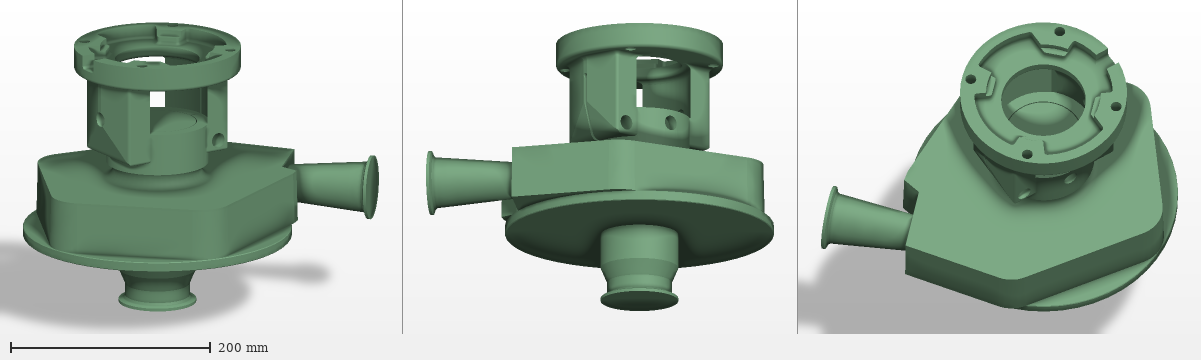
import cadquery as cq
import math

plate_bottom = 68.5
plate_top = 78.5
casing_top = 130.0
ring_bottom = 145.2
ring_top = 187.0
flange_bottom = 241.0
flange_top = 265.5

plate_radius = 269.0 / 2
plate_edge = 0.7

casing_inradius = 113.5
casing_first_normal = 27.4
casing_side_step = 72.0
casing_corner_radius = 32.5
throat_side_distance = 139.8
throat_side_normal = 125.4
casing_draft = 1.5
cap_height = 2.0
tongue_tip = (60.3, 126.7)
tongue_shoulder = (66.8, 118.5)
tongue_root = (40.3, 122.0)

discharge_angle = 45.0
discharge_face_distance = 114.0
discharge_axis_offset = 90.8
discharge_end_distance = 200.5
discharge_height = 104.2
discharge_root_radius = 18.5
discharge_root_round = 3.3
discharge_joint_radius = 24.5
discharge_joint_distance = 180.8
discharge_neck_radius = 25.5
discharge_rim_radius = 32.0

inlet_radius = 39.0
inlet_neck_radius = 32.3
inlet_cone_top = 34.0
inlet_cone_bottom = 19.0

rim_thickness = 3.0
shoulder_height = 4.7
ferrule_height = 7.0
shoulder_overhang = 1.8

neck_radius = 45.0
neck_fillet = 9.8
ring_radius = 102.0 / 2
ring_bore_radius = 39.5
shaft_radius = 77.5 / 2
pin_hole_radius = 15.0 / 2
ring_hole_height = 173.5

flange_radius = 83.5
flange_edge_fillet = 3.3
flange_bore_radius = 84.5 / 2
spigot_radius = 57.5
spigot_depth = 6.0
recess_side_radius = 73.5
recess_end_radius = 69.5
recess_depth = 13.5
recess_fillet = 3.1
recess_corner_radius = 3.3
slot_width = 19.5
bolt_circle_radius = 74.5
bolt_hole_radius = 5.5
pad_inner_distance = 51.0
pad_inner_half_width = 10.5
pad_flare = 18.0
pad_wide_flare = 45.0

leg_half_width = 39.0
leg_inner = 31.0
leg_bore_radius = 103.5 / 2
leg_front = 69.0
leg_flank = 59.0
leg_strip_half_width = 3.0
leg_corner_fillet = 3.3
leg_bottom = 157.2
leg_bevel_top = 194.5
leg_bevel_depth = 10.0
leg_toe_fillet = 8.7
leg_foot_fillet = 3.0
leg_root_fillet = 4.0
leg_hole_height = 199.3

slit_width = 3.3
slit_end_radius = 2.5
slit_end_height = 222.0
clamp_hole_offset = 47.2
clamp_hole_height = 168.8


def polar(radius, degrees):
    angle = math.radians(degrees)
    return (radius * math.cos(angle), radius * math.sin(angle))


def meeting_point(line_a, line_b):
    """Crossing of two lines, each given as (distance from origin, normal angle)."""
    (dist_a, deg_a), (dist_b, deg_b) = line_a, line_b
    ax, ay = polar(1, deg_a)
    bx, by = polar(1, deg_b)
    det = ax * by - ay * bx
    return ((dist_a * by - dist_b * ay) / det, (ax * dist_b - bx * dist_a) / det)


def cylinder(radius, bottom, top):
    return cq.Workplane("XY").workplane(offset=bottom).circle(radius).extrude(top - bottom)


def cross_hole(plane, radius, u, v, start, length):
    """Round cutter along the normal of a side plane."""
    return cq.Workplane(plane).workplane(offset=start).center(u, v).circle(radius).extrude(length)


def ferrule_points(rim_radius, neck_radius):
    """Radius and distance from the end face, from the face's centre up to the pipe."""
    return [
        (0, 0),
        (rim_radius, 0),
        (rim_radius, rim_thickness),
        (neck_radius + shoulder_overhang, shoulder_height),
        (neck_radius, ferrule_height),
    ]


def make_casing():
    sides = [(casing_inradius, casing_first_normal + casing_side_step * k) for k in (2, 3, 4, 5)]
    throat_side = (throat_side_distance, throat_side_normal)
    discharge_side = (discharge_face_distance, discharge_angle)
    rounded = [meeting_point(throat_side, sides[0])]
    rounded += [meeting_point(a, b) for a, b in zip(sides, sides[1:])]
    throat_tip = meeting_point(discharge_side, throat_side)
    corners = rounded + [tongue_shoulder, tongue_tip, tongue_root, throat_tip]

    outline = cq.Sketch().polygon(corners + corners[:1])
    for x, y in rounded:
        corner = cq.NearestToPointSelector((x, y, 0))
        outline = outline.vertices(corner).fillet(casing_corner_radius).reset()

    cap_bottom = casing_top - cap_height
    base = cq.Workplane("XY").workplane(offset=cap_bottom)
    cap = base.placeSketch(outline).extrude(cap_height)
    walls = base.placeSketch(outline).extrude(plate_top - cap_bottom, taper=-casing_draft)

    trim_size = 2 * plate_radius
    root_x, root_y = tongue_root
    root_offset = (root_y - root_x) * math.sin(math.radians(discharge_angle))
    trim = (
        cq.Workplane("XY")
        .box(trim_size, trim_size, trim_size, centered=(False, False, True))
        .translate((discharge_face_distance, root_offset, 0))
        .rotate((0, 0, 0), (0, 0, 1), discharge_angle)
    )
    return cap.union(walls.cut(trim))


def make_plate():
    return cylinder(plate_radius, plate_bottom, plate_top).edges().chamfer(plate_edge)


def make_inlet():
    points = ferrule_points(inlet_radius, inlet_neck_radius) + [
        (inlet_neck_radius, inlet_cone_bottom),
        (inlet_radius, inlet_cone_top),
        (inlet_radius, plate_bottom),
        (0, plate_bottom),
    ]
    return cq.Workplane("XZ").polyline(points).close().revolve(360, (0, 0), (0, 1))


def make_discharge():
    length = discharge_end_distance - discharge_face_distance
    joint = discharge_end_distance - discharge_joint_distance
    inner_radius = discharge_root_radius - discharge_root_round
    bulge = polar(discharge_root_round, 45)
    round_start = length - discharge_root_round
    pipe = (
        cq.Workplane("XZ")
        .polyline(ferrule_points(discharge_rim_radius, discharge_neck_radius))
        .lineTo(discharge_joint_radius, joint)
        .lineTo(discharge_root_radius, round_start)
        .threePointArc((inner_radius + bulge[0], round_start + bulge[1]), (inner_radius, length))
        .lineTo(0, length)
        .close()
        .revolve(360, (0, 0), (0, 1))
    )
    return (
        pipe.rotate((0, 0, 0), (0, 1, 0), -90)
        .translate((discharge_end_distance, discharge_axis_offset, discharge_height))
        .rotate((0, 0, 0), (0, 0, 1), discharge_angle)
    )


def make_neck():
    """Neck with a flare into the casing, and the shaft end that the ring clamps."""
    waist = casing_top + neck_fillet
    foot_radius = neck_radius + neck_fillet
    sag = polar(neck_fillet, 225)
    neck = (
        cq.Workplane("XZ")
        .moveTo(0, casing_top)
        .lineTo(foot_radius, casing_top)
        .threePointArc((foot_radius + sag[0], waist + sag[1]), (neck_radius, waist))
        .lineTo(neck_radius, ring_bottom)
        .lineTo(0, ring_bottom)
        .close()
        .revolve(360, (0, 0), (0, 1))
    )
    return neck.union(cylinder(shaft_radius, ring_bottom, ring_top))


def make_leg():
    """Rear leg: the overlap of its plan, side and front outlines."""
    plan = (
        cq.Workplane("XY")
        .polyline([
            (-leg_half_width, leg_inner),
            (leg_half_width, leg_inner),
            (leg_half_width, leg_flank),
            (leg_strip_half_width, leg_front),
            (-leg_strip_half_width, leg_front),
            (-leg_half_width, leg_flank),
        ])
        .close()
        .extrude(flange_bottom)
        .edges("|Z and (>X or <X)")
        .edges(">Y")
        .fillet(leg_corner_fillet)
    )
    side = (
        cq.Workplane("YZ")
        .polyline([
            (leg_inner, leg_bottom),
            (leg_front - leg_bevel_depth, leg_bottom),
            (leg_front, leg_bevel_top),
            (leg_front, flange_top),
            (leg_inner, flange_top),
        ])
        .close()
        .extrude(leg_half_width, both=True)
        .edges("|X and <Z")
        .edges(">Y")
        .fillet(leg_toe_fillet)
    )
    front = (
        cq.Workplane("XZ")
        .rect(2 * leg_half_width, 2 * (flange_top - leg_bottom))
        .extrude(-flange_radius)
        .translate((0, 0, flange_top))
        .edges("|Y and <Z")
        .fillet(leg_foot_fillet)
    )
    return plan.intersect(side).intersect(front).cut(cylinder(leg_bore_radius, ring_top, flange_top))


def make_pad(angle, left_flare, right_flare):
    """Bolt pad left standing in the flange recess; its sides spread outwards by the flare angles."""
    length = flange_radius - pad_inner_distance
    left_half_width = pad_inner_half_width + length * math.tan(math.radians(left_flare))
    right_half_width = pad_inner_half_width + length * math.tan(math.radians(right_flare))
    return (
        cq.Workplane("XY")
        .workplane(offset=flange_top - recess_depth)
        .polyline([
            (pad_inner_distance, -pad_inner_half_width),
            (flange_radius, -right_half_width),
            (flange_radius, left_half_width),
            (pad_inner_distance, pad_inner_half_width),
        ])
        .close()
        .extrude(recess_depth)
        .rotate((0, 0, 0), (0, 0, 1), angle)
    )


def make_pads():
    """Two rear pads and two front pads; the wide flare gives the front pads a side along X."""
    rear_pad = make_pad(45, pad_flare, pad_flare)
    front_pad = make_pad(-45, pad_wide_flare, pad_flare)
    pads = rear_pad.union(front_pad)
    return pads.union(pads.mirror("YZ"))


def make_recess():
    """Cutter for the flange recess, its cable slot and the shallow spigot seat."""
    floor = flange_top - recess_depth
    end_sector = (
        cq.Workplane("XY")
        .workplane(offset=floor)
        .polyline([(-flange_radius, flange_radius), (0, 0), (flange_radius, flange_radius)])
        .close()
        .extrude(recess_depth)
    )
    cutter = cylinder(recess_side_radius, floor, flange_top)
    end_rim = cutter.cut(cylinder(recess_end_radius, floor, flange_top)).intersect(end_sector)
    cutter = cutter.cut(end_rim).cut(end_rim.mirror("XZ")).cut(make_pads())
    cutter = cutter.edges("|Z").fillet(recess_corner_radius)
    slot = (
        cq.Workplane("XY")
        .workplane(offset=floor)
        .center(0, -flange_radius)
        .rect(slot_width, 2 * (flange_radius - spigot_radius))
        .extrude(recess_depth)
    )
    cutter = cutter.union(slot).faces("<Z").edges("not <Y").fillet(recess_fillet)
    return cutter.union(cylinder(spigot_radius, flange_top - spigot_depth, flange_top))


def make_yoke():
    """Motor flange and the two legs, with the bore through the flange."""
    rear_leg = make_leg()
    flange = cylinder(flange_radius, flange_bottom, flange_top)
    flange = flange.cut(cylinder(flange_bore_radius, flange_bottom, flange_top))
    flange = flange.edges("<Z").fillet(flange_edge_fillet)
    yoke = flange.union(rear_leg).union(rear_leg.mirror("XZ"))
    underside = yoke.faces(cq.NearestToPointSelector((0, 0, flange_bottom))).val()
    leg_outlines = [wire for wire in underside.innerWires() if len(wire.Edges()) > 1]
    roots = [edge for outline in leg_outlines for edge in outline.Edges()]
    yoke = yoke.newObject(roots).fillet(leg_root_fillet)
    bolt_holes = (
        cq.Workplane("XY")
        .workplane(offset=flange_bottom)
        .polarArray(bolt_circle_radius, 45, 360, 4)
        .circle(bolt_hole_radius)
        .extrude(flange_top - flange_bottom)
    )
    return yoke.cut(make_recess()).cut(bolt_holes)


def make_clamp():
    """Yoke joined to its ring, with the pin holes and the clamp slit."""
    clamp = make_yoke().union(cylinder(ring_radius, ring_bottom, ring_top))
    clamp = clamp.cut(cylinder(ring_bore_radius, ring_bottom, ring_top))
    clamp = clamp.cut(cross_hole("XZ", pin_hole_radius, 0, leg_hole_height, 0, leg_front))
    clamp = clamp.cut(cross_hole("YZ", pin_hole_radius, 0, ring_hole_height, -ring_radius, ring_radius))
    clamp = clamp.cut(
        cross_hole(
            "YZ", pin_hole_radius, clamp_hole_offset, clamp_hole_height,
            -leg_half_width, 2 * leg_half_width,
        )
    )
    slit = (
        cq.Workplane("XY")
        .workplane(offset=ring_bottom)
        .center(0, leg_front / 2)
        .rect(slit_width, leg_front)
        .extrude(slit_end_height - ring_bottom)
    )
    slit_end = cross_hole("XZ", slit_end_radius, 0, slit_end_height, -leg_front, leg_front)
    return clamp.cut(slit).cut(slit_end)


result = (
    make_plate()
    .union(make_casing())
    .union(make_inlet())
    .union(make_discharge())
    .union(make_neck())
    .union(make_clamp())
)